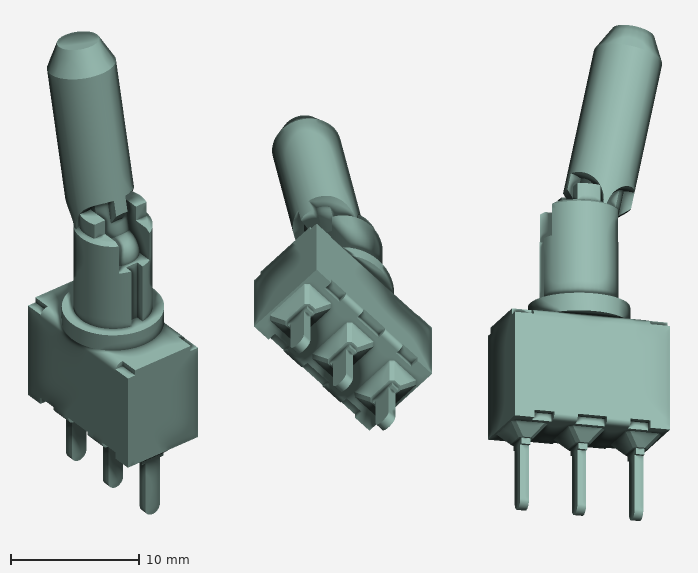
import cadquery as cq
import math


housing_length = 12.7
housing_width = 6.9
housing_height = 8.9
panel_length = 9.5
panel_thickness = 0.7
ledge_drop = 0.48
panel_bottom = 0.6
tab_inner = 1.2
tab_outer = 3.1
tab_bend_radius = 0.48

terminal_pitch = 4.68
terminal_thickness = 0.7
terminal_width = 1.45
terminal_length = 6.55
shoulder_width = 2.1
shoulder_height = 0.48
seal_length = 2.95
seal_width = 4.4
seal_height = 1.0
seal_inset = 0.88
seal_corner = 0.25

flange_diameter = 8.0
flange_height = 1.45
bushing_diameter = 6.2
bushing_height = 8.0
bushing_chamfer_width = 0.35
bushing_chamfer_height = 0.25
slot_width = 3.05
slot_depth = 2.8
keyway_width = 1.1
keyway_floor = 2.35
post_length = 1.9
post_height = 1.3

lever_tilt = 12.0
pivot_height = 12.2
lever_diameter = 5.45
lever_tip_diameter = 3.35
lever_top = 21.35
lever_tip_height = 2.05
lever_bottom = 6.1
ball_diameter = 4.2
shank_diameter = 3.75
shank_width = 2.88
scoop_radius = 2.6
scoop_height = 5.88
rib_width = 1.1
rib_bottom = 7.15

flange_top = housing_height + flange_height
bushing_top = flange_top + bushing_height
slot_floor = bushing_top - slot_depth
core_width = housing_width - 2 * panel_thickness


def box(length, width, bottom, top, x=0.0):
    """Upright box centred on (x, 0) between two levels."""
    block = cq.Workplane("XY").box(length, width, top - bottom, centered=(True, True, False))
    return block.translate((x, 0, bottom))


def cylinder(diameter, bottom, top):
    """Cylinder on the Z axis between two levels."""
    return cq.Workplane("XY").workplane(offset=bottom).circle(diameter / 2).extrude(top - bottom)


def make_housing():
    core = box(housing_length, core_width, 0, housing_height)
    ends = box(housing_length, housing_width, 0, housing_height - ledge_drop)
    ends = ends.cut(box(panel_length, housing_width, 0, housing_height))
    panels = box(panel_length, housing_width, panel_bottom, housing_height)
    panels = panels.edges("|X and >Z").fillet(panel_thickness)
    body = core.union(ends).union(panels)
    for side in (-1, 1):
        tab_middle = side * (tab_inner + tab_outer) / 2
        tab = box(tab_outer - tab_inner, housing_width, 0, panel_bottom, x=tab_middle)
        body = body.union(tab.edges("|X and <Z").fillet(tab_bend_radius))
    return body


def make_terminal():
    seal_taper = math.degrees(math.atan2(seal_inset, seal_height))
    seal = cq.Workplane("XY").rect(seal_length, seal_width).extrude(-seal_height, taper=seal_taper)
    seal = seal.edges("not #Z").chamfer(seal_corner)
    shoulder_bottom = -seal_height - shoulder_height
    shoulder = box(terminal_thickness, shoulder_width, shoulder_bottom, 0)

    half_width = terminal_width / 2
    tip_start = half_width - terminal_length
    blade = (
        cq.Workplane("YZ")
        .moveTo(-half_width, 0)
        .lineTo(-half_width, tip_start)
        .threePointArc((0, -terminal_length), (half_width, tip_start))
        .lineTo(half_width, 0)
        .close()
        .extrude(terminal_thickness / 2, both=True)
    )
    return seal.union(shoulder).union(blade)


def make_bushing():
    flange = cylinder(flange_diameter, housing_height, flange_top)
    top_radius = bushing_diameter / 2 - bushing_chamfer_width
    barrel = (
        cq.Workplane("XZ")
        .moveTo(0, flange_top)
        .lineTo(bushing_diameter / 2, flange_top)
        .lineTo(bushing_diameter / 2, bushing_top - bushing_chamfer_height)
        .lineTo(top_radius, bushing_top)
        .lineTo(0, bushing_top)
        .close()
        .revolve(360, (0, 0), (0, 1))
    )
    posts = cylinder(2 * top_radius, flange_top, bushing_top + post_height)
    posts = posts.intersect(box(post_length, bushing_diameter, flange_top, bushing_top + post_height))
    barrel = barrel.union(posts)

    slot = box(bushing_diameter, slot_width, slot_floor, bushing_top + post_height)
    keyway_depth = bushing_diameter / 2 - keyway_floor
    keyway = box(keyway_depth, keyway_width, flange_top, bushing_top, x=keyway_floor + keyway_depth / 2)
    return flange.union(barrel.cut(slot).cut(keyway))


def make_lever():
    radius = lever_diameter / 2
    shoulder = lever_top - lever_tip_height
    handle = (
        cq.Workplane("XZ")
        .moveTo(0, lever_bottom)
        .lineTo(radius, lever_bottom)
        .lineTo(radius, shoulder)
        .lineTo(lever_tip_diameter / 2, lever_top)
        .lineTo(0, lever_top)
        .close()
        .revolve(360, (0, 0), (0, 1))
    )

    scoop_top = scoop_height + scoop_radius
    ribs = (
        cq.Workplane("XZ")
        .polyline([
            (-radius, scoop_top), (-radius, rib_bottom), (0, rib_bottom - radius),
            (radius, rib_bottom), (radius, scoop_top),
        ])
        .close()
        .extrude(rib_width / 2, both=True)
    )
    for side in (-1, 1):
        scoop = (
            cq.Workplane("XZ")
            .center(side * radius, scoop_height)
            .circle(scoop_radius)
            .extrude(radius, both=True)
        )
        handle = handle.cut(scoop.cut(ribs))

    shank = cylinder(shank_diameter, 0, scoop_top)
    shank = shank.intersect(box(shank_diameter, shank_width, 0, scoop_top))
    lever = handle.union(shank)
    return lever.rotate((0, 0, 0), (0, 1, 0), -lever_tilt).translate((0, 0, pivot_height))


def make_ball():
    ball = cq.Workplane("XY").workplane(offset=slot_floor).sphere(ball_diameter / 2)
    return ball.intersect(box(ball_diameter, shank_width, pivot_height, bushing_top))


result = make_housing().union(make_bushing()).union(make_ball())
for position in (-1, 0, 1):
    result = result.union(make_terminal().translate((position * terminal_pitch, 0, 0)))
result = result.union(make_lever())